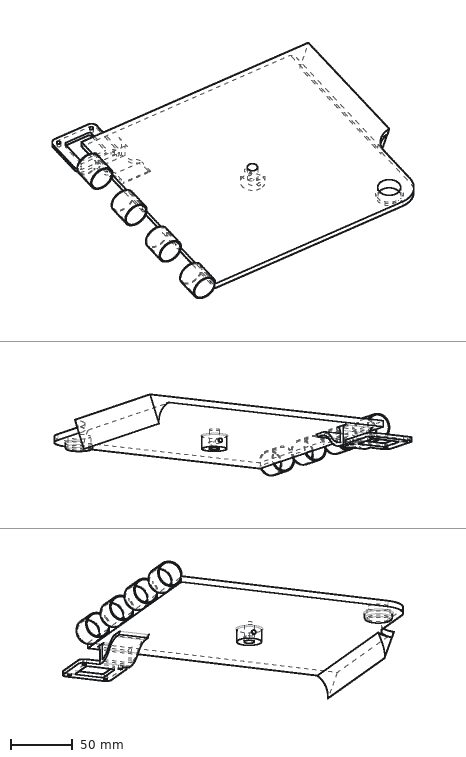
import cadquery as cq
import math

plate_width = 200.0
plate_front = 20.5
plate_back = 238.5
plate_thickness = 5.0
corner_radius = 20.0
notch_depth = 17.7
notch_start_x = 121.5

lip_tip_y = 230.2
lip_tip_z = -23.4
lip_root_y = 221.1
lip_curve_middle = (228.0, -12.5)

tube_outer_diameter = 21.0
tube_inner_diameter = 19.0
tube_length = 20.5
tube_count = 4
tube_pitch = 51.3
tube_center_z = 0.7

boss_fillet = 1.0
pin_boss_diameter = 20.0
pin_boss_bottom = -16.0
pin_hole_diameter = 8.3
cross_hole_diameter = 3.3
cross_hole_z = -10.5
pin_boss_y = 120.7
cup_diameter = 22.5
cup_bottom = -10.5
cup_bottom_fillet = 2.0
cup_recess_diameter = 18.5
cup_recess_depth = 9.0

frame_size = 42.0
frame_opening = 24.8
frame_thickness = 3.0
frame_bottom = -21.0
frame_left = -30.8
frame_front = 9.8
frame_corner_radius = 5.0
opening_corner_radius = 2.0
frame_hole_pitch = 31.5
frame_hole_diameter = 3.0
post_thickness = 4.8
post_fillet = 4.0
support_width = 25.3
arm_thickness = 3.0
arm_run = 31.3
arm_end_bottom = -7.5
arm_end_length = 5.5
arm_end_fillet = 2.0

plate_bottom = -plate_thickness
shoulder_y = plate_back - notch_depth
frame_right = frame_left + frame_size
frame_back = frame_front + frame_size


def cylinder(x, y, bottom, top, diameter):
    return cq.Workplane("XY", origin=(x, y, bottom)).circle(diameter / 2).extrude(top - bottom)


def extrude_support(profile):
    """Extrude an XZ outline toward -Y from the back of the frame."""
    return profile.close().extrude(support_width)


def make_plate_with_lip():
    profile = (
        cq.Workplane("YZ")
        .moveTo(plate_front, 0)
        .lineTo(plate_back, 0)
        .lineTo(lip_tip_y, lip_tip_z)
        .threePointArc(lip_curve_middle, (lip_root_y, plate_bottom))
        .lineTo(plate_front, plate_bottom)
        .close()
        .extrude(plate_width)
    )
    notch_center_y = shoulder_y + corner_radius
    notch_center_x = notch_start_x + math.sqrt(corner_radius**2 - (notch_center_y - plate_back) ** 2)
    arc_offset = corner_radius * math.sqrt(0.5)
    corner_x = plate_width - corner_radius
    corner_y = shoulder_y - corner_radius
    outline = (
        cq.Workplane("XY", origin=(0, 0, lip_tip_z))
        .moveTo(0, plate_front)
        .lineTo(plate_width, plate_front)
        .lineTo(plate_width, corner_y)
        .threePointArc((corner_x + arc_offset, corner_y + arc_offset), (corner_x, shoulder_y))
        .lineTo(notch_center_x, shoulder_y)
        .threePointArc(
            (notch_center_x - arc_offset, notch_center_y - arc_offset),
            (notch_start_x, plate_back),
        )
        .lineTo(0, plate_back)
        .close()
        .extrude(-lip_tip_z)
    )
    slope_direction = (0, lip_tip_y - plate_back, lip_tip_z)
    scoop_plane = cq.Plane((notch_center_x, notch_center_y, 0), (1, 0, 0), slope_direction)
    scoop_length = 2 * abs(lip_tip_z)
    scoop = cq.Workplane(scoop_plane).circle(corner_radius).extrude(scoop_length)
    above_lip = cq.Workplane("XY", origin=(notch_center_x, notch_center_y, plate_bottom))
    above_lip = above_lip.rect(4 * corner_radius, 4 * corner_radius).extrude(scoop_length)
    return profile.intersect(outline).cut(scoop.cut(above_lip))


def make_tube(x):
    radius = tube_outer_diameter / 2
    return (
        cq.Workplane("YZ", origin=(x, radius, tube_center_z))
        .circle(radius)
        .circle(tube_inner_diameter / 2)
        .extrude(tube_length)
    )


def make_boss(x, y, diameter, bottom):
    """Boss with a concave fillet where it meets the plate."""
    radius = diameter / 2
    height = plate_bottom - bottom
    fillet_middle = boss_fillet * (1 - math.sqrt(0.5))
    return (
        cq.Workplane("XZ", origin=(x, y, bottom))
        .lineTo(radius, 0)
        .lineTo(radius, height - boss_fillet)
        .threePointArc(
            (radius + fillet_middle, height - fillet_middle),
            (radius + boss_fillet, height),
        )
        .lineTo(0, height)
        .close()
        .revolve(360, (0, 0), (0, 1))
    )


def make_frame():
    plane = cq.Workplane(
        "XY", origin=(frame_left + frame_size / 2, frame_front + frame_size / 2, frame_bottom)
    )
    outer = plane.rect(frame_size, frame_size).extrude(frame_thickness)
    outer = outer.edges("|Z").fillet(frame_corner_radius)
    opening = plane.rect(frame_opening, frame_opening).extrude(frame_thickness)
    opening = opening.edges("|Z").fillet(opening_corner_radius)
    holes = (
        plane.rect(frame_hole_pitch, frame_hole_pitch, forConstruction=True)
        .vertices()
        .circle(frame_hole_diameter / 2)
        .extrude(frame_thickness)
    )
    return outer.cut(opening).cut(holes)


def make_post():
    left = frame_right
    right = left + post_thickness
    flare_z = plate_bottom - post_fillet
    fillet_middle = post_fillet * (1 - math.sqrt(0.5))
    return extrude_support(
        cq.Workplane("XZ", origin=(0, frame_back, 0))
        .moveTo(left, frame_bottom)
        .lineTo(right, frame_bottom)
        .lineTo(right, flare_z)
        .threePointArc(
            (right + fillet_middle, plate_bottom - fillet_middle),
            (right + post_fillet, plate_bottom),
        )
        .lineTo(left - post_fillet, plate_bottom)
        .threePointArc((left - fillet_middle, plate_bottom - fillet_middle), (left, flare_z))
    )


def make_arm():
    start_x = frame_right + post_thickness
    end_x = start_x + arm_run
    tip_x = end_x + arm_end_length
    rise = arm_end_bottom - frame_bottom
    radius = (arm_run**2 + rise**2) / (4 * rise)
    turn = 2 * math.atan(rise / arm_run)
    lower_center_z = frame_bottom + radius
    upper_center_z = arm_end_bottom - radius

    def lower_point(angle, offset):
        distance = radius - offset
        return start_x + distance * math.sin(angle), lower_center_z - distance * math.cos(angle)

    def upper_point(angle, offset):
        distance = radius + offset
        return end_x - distance * math.sin(angle), upper_center_z + distance * math.cos(angle)

    top_z = arm_end_bottom + arm_thickness
    fillet_middle = arm_end_fillet * (1 - math.sqrt(0.5))
    flare_z = plate_bottom - arm_end_fillet
    return extrude_support(
        cq.Workplane("XZ", origin=(0, frame_back, 0))
        .moveTo(start_x, frame_bottom)
        .threePointArc(lower_point(turn / 2, 0), lower_point(turn, 0))
        .threePointArc(upper_point(turn / 2, 0), (end_x, arm_end_bottom))
        .lineTo(tip_x, arm_end_bottom)
        .lineTo(tip_x, flare_z)
        .threePointArc(
            (tip_x + fillet_middle, plate_bottom - fillet_middle),
            (tip_x + arm_end_fillet, plate_bottom),
        )
        .lineTo(tip_x, top_z)
        .lineTo(end_x, top_z)
        .threePointArc(upper_point(turn / 2, arm_thickness), upper_point(turn, arm_thickness))
        .threePointArc(lower_point(turn / 2, arm_thickness), lower_point(0, arm_thickness))
    )


result = make_plate_with_lip()

first_tube_x = plate_width - tube_length - (tube_count - 1) * tube_pitch
for index in range(tube_count):
    result = result.union(make_tube(first_tube_x + index * tube_pitch))

pin_x = plate_width / 2
result = result.union(make_boss(pin_x, pin_boss_y, pin_boss_diameter, pin_boss_bottom))
result = result.cut(cylinder(pin_x, pin_boss_y, pin_boss_bottom, 0, pin_hole_diameter))
cross_hole = (
    cq.Workplane("YZ", origin=(pin_x, pin_boss_y, cross_hole_z))
    .circle(cross_hole_diameter / 2)
    .extrude(pin_boss_diameter / 2, both=True)
)
result = result.cut(cross_hole)

cup_x = plate_width - corner_radius
cup_y = shoulder_y - corner_radius
cup = make_boss(cup_x, cup_y, cup_diameter, cup_bottom).faces("<Z").edges().fillet(cup_bottom_fillet)
result = result.union(cup).cut(cylinder(cup_x, cup_y, -cup_recess_depth, 0, cup_recess_diameter))

result = result.union(make_frame()).union(make_post()).union(make_arm())